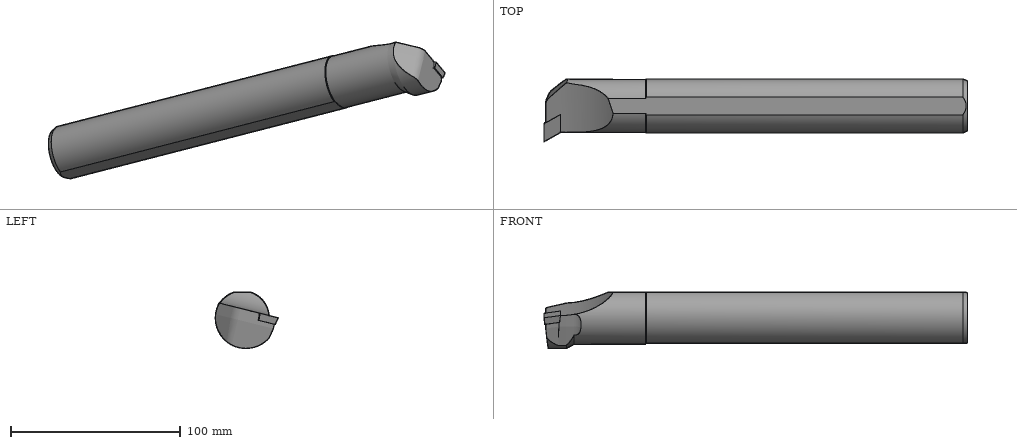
import cadquery as cq
import math

length = 250.0
shank_radius = 16.0
flat_spacing = 30.2
flat_height = flat_spacing / 2
end_chamfer_length = 2.7
end_chamfer_depth = 1.2

neck_radius = 15.7
neck_end = 60.0
step_length = 0.5
head_diameter = 36.2
head_radius = head_diameter / 2
head_center_y = shank_radius - head_radius
head_length = 13.2
head_cone_end = 17.7
trim_end = 30.0

tip_y = -21.2
rake_angle = 14.0
rake_runout_start = 10.0
rake_runout_radius = 50.0
rake_runout_angle = 60.0

front_x = 1.0
nose_start_width = 22.7
nose_mid = (1.7, 25.0)
nose_end = (3.2, 27.0)
bevel_angle = 42.0
edge_angle = 30.0
side_wall_start = 1.2
side_wall_width = 5.7
side_wall_kink_x = 13.2
side_wall_end = (18.0, 6.0)
side_runout_mid = (21.7, 5.0)
side_runout_end = (24.2, 2.5)
relief_depth = 7.0
relief_angle = 6.0

clear = 50.0

insert_width = 9.7
insert_edge = 11.0
insert_thickness = 4.2
insert_relief_angle = 6.0


def disc_bar(radius, start, end, center_y=0.0):
    return cq.Workplane("YZ", origin=(start, center_y, 0)).circle(radius).extrude(end - start)


def tilt(body):
    """Move a body from the rake plane's own axes to its place at the tip."""
    return body.rotate((0, 0, 0), (1, 0, 0), rake_angle).translate((0, tip_y, 0))


def make_shank():
    profile = [
        (neck_end, 0),
        (neck_end, neck_radius),
        (neck_end + step_length, shank_radius),
        (length - end_chamfer_length, shank_radius),
        (length, shank_radius - end_chamfer_depth),
        (length, 0),
    ]
    bar = cq.Workplane("XY").polyline(profile).close().revolve(360, (0, 0, 0), (1, 0, 0))
    flats = cq.Workplane("XY").box(2 * length, 2 * shank_radius, flat_spacing)
    return bar.intersect(flats)


def make_neck_and_head():
    """Neck bar with the head cylinder, joined by a tapered shoulder."""
    neck = disc_bar(neck_radius, 0, neck_end)
    head = disc_bar(head_radius, 0, head_length, head_center_y)
    shoulder = (
        cq.Workplane("YZ", origin=(head_length, head_center_y, 0))
        .circle(head_radius)
        .workplane(offset=head_cone_end - head_length)
        .center(-head_center_y, 0)
        .circle(neck_radius)
        .loft()
    )
    top_flat = cq.Workplane("XY").box(2 * length, clear, clear).translate((0, 0, flat_height + clear / 2))
    return neck.union(shoulder).union(head).cut(top_flat)


def head_outline():
    """Front face, bevelled +Y corner and relieved wall behind the cutting edge."""
    wall_rise = side_wall_width - side_wall_start
    wall_bend_x = front_x + wall_rise / math.tan(math.radians(edge_angle))
    bevel_end_x = nose_end[0] + (2 * clear - nose_end[1]) / math.tan(math.radians(bevel_angle))
    return (
        cq.Workplane("XY")
        .moveTo(front_x, side_wall_start)
        .lineTo(wall_bend_x, side_wall_width)
        .lineTo(side_wall_kink_x, side_wall_width)
        .lineTo(*side_wall_end)
        .threePointArc(side_runout_mid, side_runout_end)
        .lineTo(side_runout_end[0], -clear)
        .lineTo(3 * clear, -clear)
        .lineTo(3 * clear, 2 * clear)
        .lineTo(bevel_end_x, 2 * clear)
        .lineTo(*nose_end)
        .threePointArc(nose_mid, (front_x, nose_start_width))
        .close()
    )


def trim_head(blank):
    """Shape the head sides: straight below the rake plane, then relieved."""
    upper = head_outline().extrude(clear).translate((0, 0, -relief_depth))
    lower = head_outline().extrude(-clear, taper=relief_angle).translate((0, 0, -relief_depth))
    front = blank.intersect(disc_bar(clear, 0, trim_end))
    rear = blank.cut(disc_bar(clear, 0, trim_end))
    front_top = front.intersect(tilt(upper))
    front_bottom = front.intersect(tilt(lower))
    return front_top.union(front_bottom).union(rear)


def make_rake_cut():
    """Flat rake face that curves upward into the neck."""
    runout_angle = math.radians(rake_runout_angle)
    arc_end_x = rake_runout_start + rake_runout_radius * math.sin(runout_angle)
    arc_end_z = rake_runout_radius * (1 - math.cos(runout_angle))
    arc_mid_x = rake_runout_start + rake_runout_radius * math.sin(runout_angle / 2)
    arc_mid_z = rake_runout_radius * (1 - math.cos(runout_angle / 2))
    return tilt(
        cq.Workplane("XZ", origin=(0, 2 * clear, 0))
        .moveTo(-clear, 0)
        .lineTo(rake_runout_start, 0)
        .threePointArc((arc_mid_x, arc_mid_z), (arc_end_x, arc_end_z))
        .lineTo(arc_end_x, clear)
        .lineTo(-clear, clear)
        .close()
        .extrude(3 * clear)
    )


def make_insert():
    edge_rise = insert_width * math.tan(math.radians(edge_angle))
    corners = [
        (0, 0),
        (insert_width, edge_rise),
        (insert_width, edge_rise + insert_edge),
        (0, insert_edge),
    ]
    plate = cq.Workplane("XY").polyline(corners).close()
    return tilt(plate.extrude(-insert_thickness, taper=insert_relief_angle))


insert = make_insert()
head = trim_head(make_neck_and_head()).cut(make_rake_cut())
holder = make_shank().union(head).cut(insert)

result = cq.Compound.makeCompound([holder.val(), insert.val()])